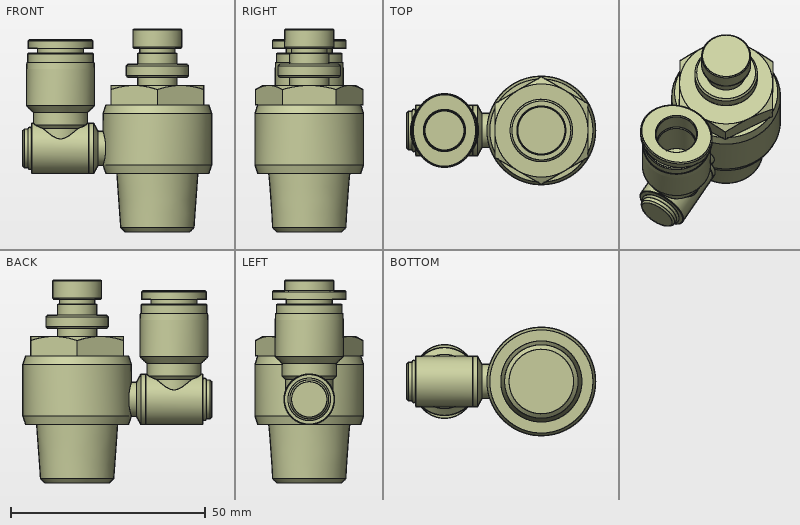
import cadquery as cq
import math

BODY_RADIUS = 14.0
BODY_END_RADIUS = 13.25
BODY_BOTTOM = 15.05
BODY_TOP = 32.7
BODY_BEVEL_HEIGHT = 2.2

THREAD_ROOT_RADIUS = 10.45
THREAD_TIP_RADIUS = 9.45
THREAD_BEVEL = 1.15

HEX_ACROSS_FLATS = 23.95
HEX_TOP = 37.7
HEX_BEVEL_ANGLE = 30
HEX_SIDES = 6

STEM_RADIUS = 5.05
STEM_TOP = 46.05
STEM_BEVEL = 0.2
COLLAR_RADIUS = 8.05
COLLAR_BOTTOM = 39.7
COLLAR_TOP = 43.15
COLLAR_BEVEL = 0.45
NECK_RADIUS = 4.6
KNOB_RADIUS = 6.3
KNOB_BOTTOM = 47.25
KNOB_TOP = 52.2
KNOB_BEVEL = 0.25

ARM_HEIGHT = 21.5
ARM_RADIUS = 6.5
ARM_OUTER_X = -32.35
ARM_GROOVE_X = -17.55
ARM_GROOVE_WIDTH = 0.1
ARM_GROOVE_DEPTH = 0.1
ARM_SHOULDER_X = -16.4
ARM_CONE_END_X = -15.25
ARM_NECK_RADIUS = 4.45
ARM_EDGE_BEVEL = 0.15
CAP_END_X = -34.6
CAP_RADIUS = 5.0
CAP_BEVEL = 0.45
RING_RADIUS = 5.5
RING_SECTION_RADIUS = 0.4

FITTING_X = -24.9
FITTING_ROOT_RADIUS = 6.05
FITTING_ROOT_TOP = 26.55
FITTING_WAIST_RADIUS = 7.0
FITTING_WAIST_BOTTOM = 27.45
FITTING_WAIST_TOP = 30.75
FITTING_RADIUS = 8.75
FITTING_BOTTOM = 32.45
FITTING_TAPER_BOTTOM = 41.8
FITTING_TAPER_RADIUS = 8.65
FITTING_TAPER_TOP = 43.65
CUFF_RADIUS = 8.45
CUFF_TOP = 46.05
CUFF_BEVEL = 0.25
SLEEVE_RADIUS = 5.95
FLANGE_BOTTOM = 47.25
FLANGE_TOP = 49.45
FLANGE_HALF_X = 8.3
FLANGE_HALF_Y = 9.5
FLANGE_BEVEL = 0.3
BORE_MOUTH_RADIUS = 5.45
BORE_RADIUS = 5.2
BORE_LOWER_RADIUS = 5.0
BORE_BEVEL_HEIGHT = 0.4


def turned(profile):
    """Turn a (radius, height) outline about the Z axis, closing it along the axis."""
    outline = [(0, profile[0][1])] + profile + [(0, profile[-1][1])]
    return cq.Workplane("XZ").polyline(outline).close().revolve(360, (0, 0), (0, 1))


def bevelled_disc(radius, bottom, top, bevel):
    """Disc on the Z axis with both rims bevelled."""
    disc = cq.Workplane("XY").workplane(offset=bottom).circle(radius).extrude(top - bottom)
    return disc.edges().chamfer(bevel)


def make_body():
    return turned([
        (THREAD_TIP_RADIUS - THREAD_BEVEL, 0),
        (THREAD_TIP_RADIUS, THREAD_BEVEL),
        (THREAD_ROOT_RADIUS, BODY_BOTTOM),
        (BODY_END_RADIUS, BODY_BOTTOM),
        (BODY_RADIUS, BODY_BOTTOM + BODY_BEVEL_HEIGHT),
        (BODY_RADIUS, BODY_TOP - BODY_BEVEL_HEIGHT),
        (BODY_END_RADIUS, BODY_TOP),
    ])


def make_hexagon():
    """Hexagon whose upper corners are trimmed by a cone touching the flats."""
    flat_radius = HEX_ACROSS_FLATS / 2
    corner_radius = flat_radius / math.cos(math.pi / HEX_SIDES)
    corner_drop = (corner_radius - flat_radius) * math.tan(math.radians(HEX_BEVEL_ANGLE))
    prism = (
        cq.Workplane("XY")
        .workplane(offset=BODY_TOP)
        .transformed(rotate=(0, 0, 90))
        .polygon(HEX_SIDES, 2 * corner_radius)
        .extrude(HEX_TOP - BODY_TOP)
    )
    envelope = turned([
        (corner_radius, BODY_TOP),
        (corner_radius, HEX_TOP - corner_drop),
        (flat_radius, HEX_TOP),
    ])
    return prism.intersect(envelope)


def make_stem():
    stem = turned([
        (STEM_RADIUS, HEX_TOP),
        (STEM_RADIUS, STEM_TOP - STEM_BEVEL),
        (STEM_RADIUS - STEM_BEVEL, STEM_TOP),
        (NECK_RADIUS, STEM_TOP),
        (NECK_RADIUS, KNOB_BOTTOM),
    ])
    collar = bevelled_disc(COLLAR_RADIUS, COLLAR_BOTTOM, COLLAR_TOP, COLLAR_BEVEL)
    knob = bevelled_disc(KNOB_RADIUS, KNOB_BOTTOM, KNOB_TOP, KNOB_BEVEL)
    return stem.union(collar).union(knob)


def make_arm():
    """Arm turned about its own axis, from the body axis out to the cap."""
    profile = [
        (ARM_NECK_RADIUS, 0),
        (ARM_NECK_RADIUS, ARM_CONE_END_X),
        (ARM_RADIUS, ARM_SHOULDER_X),
        (ARM_RADIUS, ARM_GROOVE_X),
        (ARM_RADIUS - ARM_GROOVE_DEPTH, ARM_GROOVE_X),
        (ARM_RADIUS - ARM_GROOVE_DEPTH, ARM_GROOVE_X - ARM_GROOVE_WIDTH),
        (ARM_RADIUS, ARM_GROOVE_X - ARM_GROOVE_WIDTH),
        (ARM_RADIUS, ARM_OUTER_X + ARM_EDGE_BEVEL),
        (ARM_RADIUS - ARM_EDGE_BEVEL, ARM_OUTER_X),
        (CAP_RADIUS, ARM_OUTER_X),
        (CAP_RADIUS, CAP_END_X + CAP_BEVEL),
        (CAP_RADIUS - CAP_BEVEL, CAP_END_X),
    ]
    ring = cq.Workplane(
        cq.Solid.makeTorus(
            RING_RADIUS - RING_SECTION_RADIUS,
            RING_SECTION_RADIUS,
            cq.Vector(0, 0, ARM_OUTER_X - RING_SECTION_RADIUS),
        )
    )
    arm = turned(profile).union(ring)
    return arm.rotate((0, 0, 0), (0, 1, 0), 90).translate((0, 0, ARM_HEIGHT))


def make_fitting():
    shell = turned([
        (FITTING_ROOT_RADIUS, ARM_HEIGHT),
        (FITTING_ROOT_RADIUS, FITTING_ROOT_TOP),
        (FITTING_WAIST_RADIUS, FITTING_WAIST_BOTTOM),
        (FITTING_WAIST_RADIUS, FITTING_WAIST_TOP),
        (FITTING_RADIUS, FITTING_BOTTOM),
        (FITTING_RADIUS, FITTING_TAPER_BOTTOM),
        (FITTING_TAPER_RADIUS, FITTING_TAPER_TOP),
        (CUFF_RADIUS, FITTING_TAPER_TOP),
        (CUFF_RADIUS, CUFF_TOP - CUFF_BEVEL),
        (CUFF_RADIUS - CUFF_BEVEL, CUFF_TOP),
        (SLEEVE_RADIUS, CUFF_TOP),
        (SLEEVE_RADIUS, FLANGE_BOTTOM),
    ])
    flange = (
        cq.Workplane("XY")
        .workplane(offset=FLANGE_BOTTOM)
        .ellipse(FLANGE_HALF_X, FLANGE_HALF_Y)
        .extrude(FLANGE_TOP - FLANGE_BOTTOM)
        .faces(">Z")
        .chamfer(FLANGE_BEVEL)
    )
    bore = turned([
        (BORE_LOWER_RADIUS, FITTING_BOTTOM),
        (BORE_LOWER_RADIUS, FITTING_TAPER_TOP - BORE_BEVEL_HEIGHT),
        (BORE_RADIUS, FITTING_TAPER_TOP),
        (BORE_RADIUS, FLANGE_TOP - BORE_BEVEL_HEIGHT),
        (BORE_MOUTH_RADIUS, FLANGE_TOP),
    ])
    return shell.union(flange).cut(bore).translate((FITTING_X, 0, 0))


result = make_body().union(make_hexagon()).union(make_stem()).union(make_arm()).union(make_fitting())